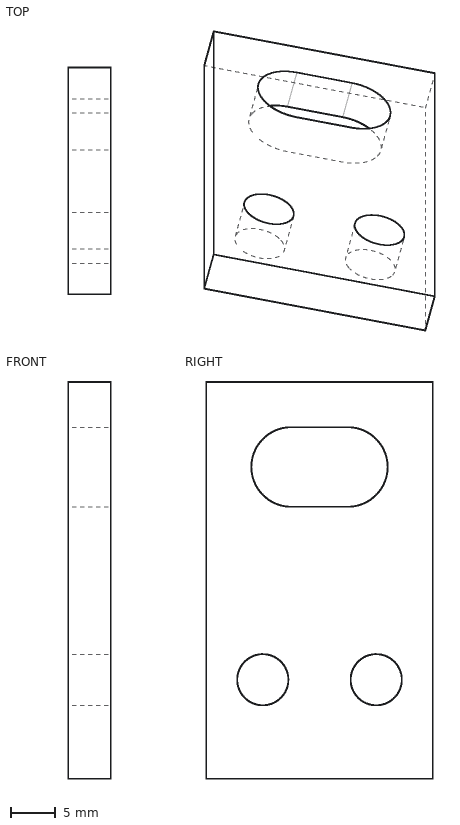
import cadquery as cq

thickness = 4.76
width = 25.4
height = 44.45

slot_length = 15.24
slot_width = 8.89
slot_center_from_top = 9.525

hole_diameter = 5.71
hole_spacing = width / 2
holes_from_bottom = 11.11


def make_plate():
    return cq.Workplane("XY").box(thickness, width, height)


def back_face_plane():
    """YZ sketch plane on the plate's -X face; extruding by the thickness goes right through."""
    return cq.Workplane("YZ", origin=(-thickness / 2, 0, 0))


def make_slot():
    slot_z = height / 2 - slot_center_from_top
    return (
        back_face_plane()
        .center(0, slot_z)
        .slot2D(slot_length, slot_width)
        .extrude(thickness)
    )


def make_holes():
    holes_z = -height / 2 + holes_from_bottom
    hole_centers = [(side * hole_spacing / 2, holes_z) for side in (-1, 1)]
    return (
        back_face_plane()
        .pushPoints(hole_centers)
        .circle(hole_diameter / 2)
        .extrude(thickness)
    )


result = make_plate().cut(make_slot()).cut(make_holes())